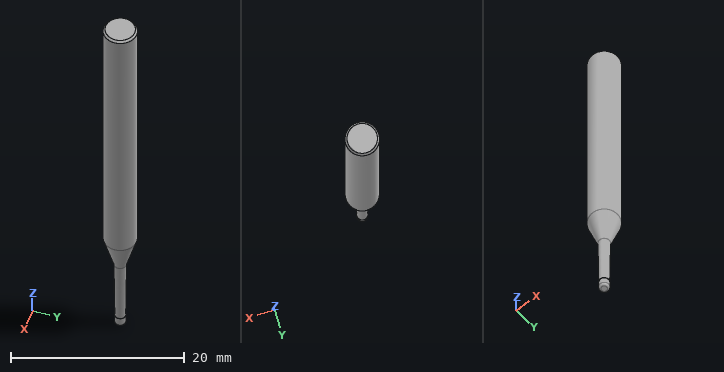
import cadquery as cq

total_length = 50.0
shank_diameter = 4.0
shank_chamfer = 0.25

tip_length = 1.35
neck_top = 10.0
shank_bottom = 14.45

neck_top_diameter = 1.5
neck_bottom_diameter = 1.3

tip_diameter = 1.35
tip_corner_radius = 0.3


def make_holder():
    """Chamfered shank, conical shoulder and tapered neck, revolved about Z."""
    shank_radius = shank_diameter / 2
    return (
        cq.Workplane("XZ")
        .moveTo(0, tip_length)
        .lineTo(neck_bottom_diameter / 2, tip_length)
        .lineTo(neck_top_diameter / 2, neck_top)
        .lineTo(shank_radius, shank_bottom)
        .lineTo(shank_radius, total_length - shank_chamfer)
        .lineTo(shank_radius - shank_chamfer, total_length)
        .lineTo(0, total_length)
        .close()
        .revolve(360, (0, 0), (0, 1))
    )


def make_cutting_tip():
    """Short cylindrical tip that meets the lower end of the neck."""
    return (
        cq.Workplane("XY")
        .circle(tip_diameter / 2)
        .extrude(tip_length)
        .faces("<Z")
        .edges()
        .fillet(tip_corner_radius)
    )


holder = make_holder()
cutting_tip = make_cutting_tip()

result = cq.Compound.makeCompound([holder.val(), cutting_tip.val()])